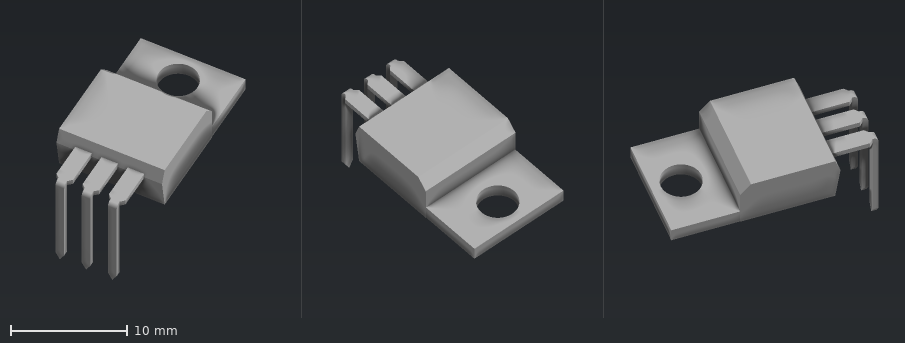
import cadquery as cq

overall_length = 19.74

body_width = 10.25
body_height = 4.45
body_rear_y = 13.45
body_nose_y = 4.26
body_front_y = 4.75
parting_z = 3.12
rear_chamfer_y = 0.99
rear_chamfer_z = 1.03

tab_width = 10.17
tab_thickness = 1.28
hole_diameter = 3.73
hole_from_end = 2.76

lead_count = 3
lead_pitch = 2.55
lead_thickness = 0.51
lead_top_z = 3.42
shoulder_width = 1.6
shoulder_front_y = 0.9
neck_y = 0.55
pin_width = 0.85
pin_tip_z = body_height - 10.78
pin_point_height = 0.71
bend_radius = lead_thickness
lead_root_y = body_front_y + 0.2


def make_body():
    profile = [
        (body_rear_y, 0),
        (body_rear_y, body_height - rear_chamfer_z),
        (body_rear_y - rear_chamfer_y, body_height),
        (body_front_y, body_height),
        (body_nose_y, parting_z),
        (body_front_y, 0),
    ]
    return cq.Workplane("YZ").polyline(profile).close().extrude(body_width / 2, both=True)


def make_tab():
    tab_length = overall_length - body_rear_y
    tab = cq.Workplane("XY").box(tab_width, tab_length, tab_thickness, centered=(True, False, False))
    hole = cq.Workplane("XY").center(0, tab_length - hole_from_end)
    hole = hole.circle(hole_diameter / 2).extrude(tab_thickness)
    return tab.cut(hole).translate((0, body_rear_y, 0))


def make_lead():
    blank = (
        cq.Workplane("XY", origin=(0, 0, lead_top_z - lead_thickness))
        .polyline([
            (-shoulder_width / 2, lead_root_y),
            (-shoulder_width / 2, shoulder_front_y),
            (-pin_width / 2, neck_y),
            (-pin_width / 2, 0),
            (pin_width / 2, 0),
            (pin_width / 2, neck_y),
            (shoulder_width / 2, shoulder_front_y),
            (shoulder_width / 2, lead_root_y),
        ])
        .close()
        .extrude(lead_thickness)
    )
    pin = (
        cq.Workplane("XZ")
        .polyline([
            (-pin_width / 2, lead_top_z),
            (-pin_width / 2, pin_tip_z + pin_point_height),
            (0, pin_tip_z),
            (pin_width / 2, pin_tip_z + pin_point_height),
            (pin_width / 2, lead_top_z),
        ])
        .close()
        .extrude(-lead_thickness)
    )
    bend_envelope = (
        cq.Workplane("YZ")
        .moveTo(0, pin_tip_z)
        .lineTo(0, lead_top_z - bend_radius)
        .radiusArc((bend_radius, lead_top_z), bend_radius)
        .lineTo(lead_root_y, lead_top_z)
        .lineTo(lead_root_y, pin_tip_z)
        .close()
        .extrude(shoulder_width, both=True)
    )
    return blank.union(pin).intersect(bend_envelope)


result = make_body().union(make_tab())
lead = make_lead()
for index in range(lead_count):
    lead_x = (index - (lead_count - 1) / 2) * lead_pitch
    result = result.union(lead.translate((lead_x, 0, 0)))

result = result.translate((0, -overall_length / 2, 0))